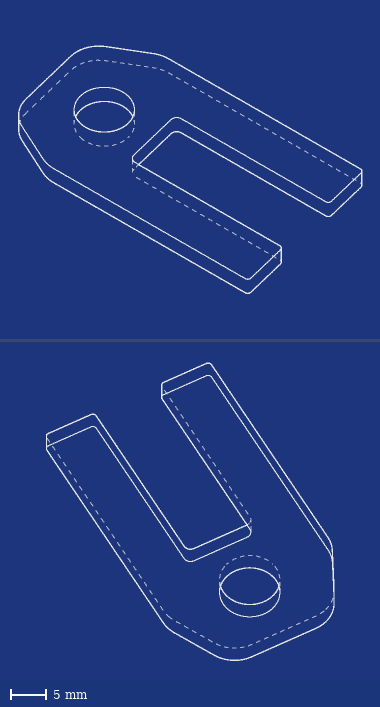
import cadquery as cq

length = 46.0
width = 26.5
thickness = 3.0

nose_length = 10.0
nose_flat_width = 16.5
nose_radius = 5.0

hole_diameter = 8.5
hole_x = nose_length
slot_start_x = 18.6
slot_width = 10.6
slot_corner_radius = 1.0
tip_radius = 0.55


def vertical_edges_at(body, corners):
    """Select the vertical edges that pass through the given XY corners."""
    edges = body.edges("|Z")
    picked = [
        edge
        for edge in edges.vals()
        for x, y in corners
        if (edge.Center() - cq.Vector(x, y, thickness / 2)).Length < 0.0005
    ]
    return body.newObject(picked)


def mirrored(x, y):
    """Return a corner and its mirror image across the centre line."""
    return [(x, y), (x, -y)]


half_width = width / 2
half_slot = slot_width / 2
half_flat = nose_flat_width / 2

nose_corners = mirrored(0, half_flat) + mirrored(nose_length, half_width)
slot_corners = mirrored(slot_start_x, half_slot)
tip_corners = mirrored(length, half_width) + mirrored(length, half_slot)

outline = [
    (0, -half_flat),
    (nose_length, -half_width),
    (length, -half_width),
    (length, -half_slot),
    (slot_start_x, -half_slot),
    (slot_start_x, half_slot),
    (length, half_slot),
    (length, half_width),
    (nose_length, half_width),
    (0, half_flat),
]
fork = cq.Workplane("XY").polyline(outline).close().extrude(thickness)

for corners, radius in [
    (nose_corners, nose_radius),
    (slot_corners, slot_corner_radius),
    (tip_corners, tip_radius),
]:
    fork = vertical_edges_at(fork, corners).fillet(radius)

hole = cq.Workplane("XY").center(hole_x, 0).circle(hole_diameter / 2).extrude(thickness)
result = fork.cut(hole)